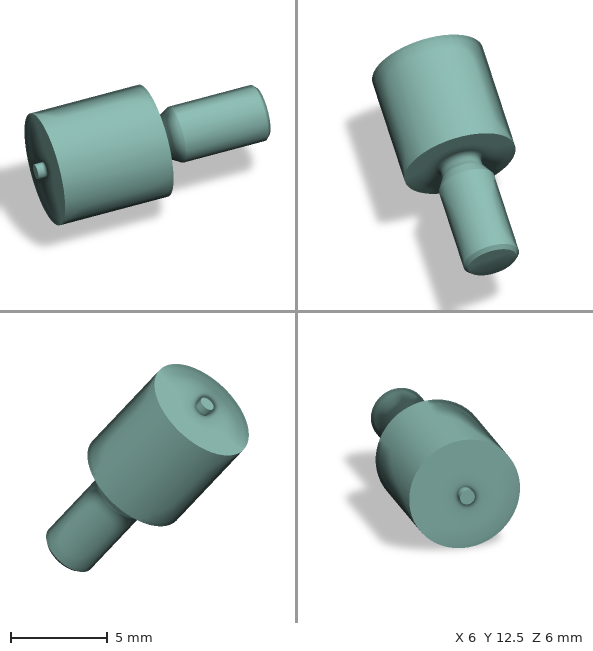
import cadquery as cq
import math

body_diameter = 6.0
body_length = 6.0

pin_diameter = 0.8
pin_length = 0.5

stud_diameter = 3.0
stud_length = 6.0
stud_chamfer = 0.2
neck_diameter = 2.2
neck_length = 0.55
undercut_angle = math.radians(30)
neck_fillet = 0.2

body_radius = body_diameter / 2
pin_radius = pin_diameter / 2
stud_radius = stud_diameter / 2
neck_radius = neck_diameter / 2

stud_end = body_length + stud_length

corner_y = body_length + neck_length
cone_end = corner_y + (stud_radius - neck_radius) / math.tan(undercut_angle)
round_start_y = corner_y - neck_fillet * math.tan(undercut_angle / 2)


def neck_round_point(angle):
    """Point (radius, Y) on the neck-to-cone round after turning through the angle."""
    radius = neck_radius + neck_fillet * (1 - math.cos(angle))
    return radius, round_start_y + neck_fillet * math.sin(angle)


fillet_centre_radius = neck_radius + neck_fillet
fillet_centre_y = body_length + neck_fillet
fillet_mid_offset = neck_fillet * math.cos(math.pi / 4)
fillet_middle = (fillet_centre_radius - fillet_mid_offset, fillet_centre_y - fillet_mid_offset)

half_section = (
    cq.Workplane("XY")
    .moveTo(0, -pin_length)
    .lineTo(pin_radius, -pin_length)
    .lineTo(pin_radius, 0)
    .lineTo(body_radius, 0)
    .lineTo(body_radius, body_length)
    .lineTo(fillet_centre_radius, body_length)
    .threePointArc(fillet_middle, (neck_radius, fillet_centre_y))
    .lineTo(neck_radius, round_start_y)
    .threePointArc(neck_round_point(undercut_angle / 2), neck_round_point(undercut_angle))
    .lineTo(stud_radius, cone_end)
    .lineTo(stud_radius, stud_end - stud_chamfer)
    .lineTo(stud_radius - stud_chamfer, stud_end)
    .lineTo(0, stud_end)
    .close()
)

result = half_section.revolve(360, (0, 0, 0), (0, 1, 0))